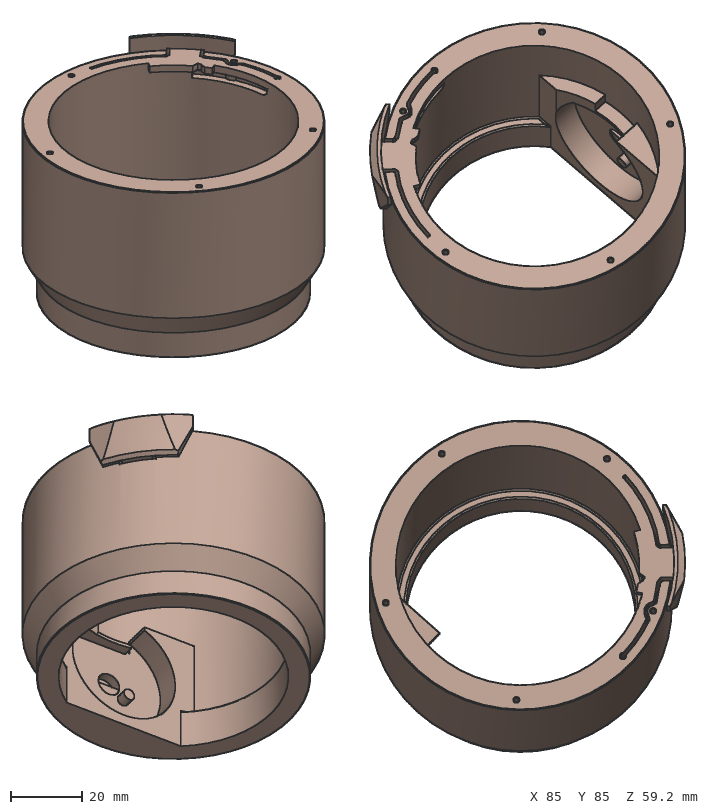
import cadquery as cq
import math

overlap = 0.85

outer_radius = 42.5
bore_radius = 70.3 / 2
skirt_radius = 77.0 / 2
skirt_height = 8.0
cone_top = 14.8
body_top = 54.9
rim_chamfer = 0.25

seat_radius = 32.3
seat_z = 12.2
seat_bevel_width = 0.6
seat_bevel_height = 0.25

block_face_x = 26.2
block_top = 37.15
well_radius = 31.1
well_end_y = -6.9
ledge_top = 33.1
ledge_thickness = 1.1
ledge_bottom = ledge_top - ledge_thickness
ledge_y_min = -5.35
ledge_y_max = 5.8
socket_radius = 17.1
socket_z = 20.4
socket_end_x = 34.0
pin_diameter = 3.5
pin_length = 3.4
pin_y = -4.6
pin_z = 15.3
recess_radius = 3.5
recess_z = 19.2
recess_step_z = 18.95
recess_lower_depth = 0.4
recess_upper_depth = 3.1

screw_count = 5
screw_first_angle = 41.0
screw_circle_radius = 39.5
screw_diameter = 1.4
screw_mouth_diameter = 1.8
screw_depth = 5.1

lever_angle = 135.0
lever_bottom = 44.9
slot_width = 0.9
slot_radius = 39.1
slot_depth = body_top - lever_bottom
slot_exit_radius = 43.2
slot_spot_diameter = 1.8
slot_spot_depth = 0.5
hole_slot_start = 90.0
hole_slot_end = 109.0
hole_slot_bends = [(-17.8, 35.0), (-22.6, 31.9), (-24.0, 31.8)]
hole_slot_exit = 127.5
detour_radius = 2.0
detour_start = -20.0
detour_end = -125.0
plain_slot_start = 175.0
plain_slot_square = 1.0
plain_slot_end = 148.0
plain_slot_bends = [(-30.6, 24.1), (-30.7, 25.0)]
plain_slot_exit = 140.4

lever_top = 59.2
lever_inner_radius = 43.1
lever_edge_radius = 44.2
lever_outer_radius = 46.2
lever_foot_radius = 45.05
lever_foot_bevel = 1.0
lever_facet_angle = 8.5
lever_tip_radius = 44.0
lever_bevel_top = 57.5
lever_bevel_bottom = 46.0
lever_half_width_top = 14.9
lever_half_width_bottom = 10.9
root_side_low = -5.3
root_side_high = 3.8

pad_radius = 33.3
pad_bottom = 52.9
pad_start_angle = 119.3
pad_end_angle = 150.0
pad_notch = [(-20.9, 25.5), (-21.2, 27.9), (-20.1, 28.2), (-19.5, 28.0), (-18.1, 27.9), (-17.85, 26.8)]

groove_radius = 37.6
groove_bottom = 50.1
groove_top = 52.6
groove_start_angle = 90.0
groove_end_angle = 130.0
groove_end_fillet = 2.0


def polar(radius, angle):
    """Point in the XY plane at a radius and an angle in degrees."""
    return (radius * math.cos(math.radians(angle)), radius * math.sin(math.radians(angle)))


def cylinder(radius, bottom, top):
    return cq.Workplane("XY").workplane(offset=bottom).circle(radius).extrude(top - bottom)


def box(x_range, y_range, z_range):
    size = [high - low for low, high in (x_range, y_range, z_range)]
    return cq.Workplane("XY").box(*size, centered=False).translate((x_range[0], y_range[0], z_range[0]))


def ring_sector(inner, outer, start, end, bottom, top):
    middle = (start + end) / 2
    return (
        cq.Workplane("XY")
        .workplane(offset=bottom)
        .moveTo(*polar(inner, start))
        .lineTo(*polar(outer, start))
        .threePointArc(polar(outer, middle), polar(outer, end))
        .lineTo(*polar(inner, end))
        .threePointArc(polar(inner, middle), polar(inner, start))
        .close()
        .extrude(top - bottom)
    )


def revolve(points):
    """Solid of revolution about Z from (radius, z) points."""
    return cq.Workplane("XZ").polyline(points).close().revolve(360, (0, 0, 0), (0, 1, 0))


def tube():
    return revolve([
        (seat_radius, 0),
        (skirt_radius - rim_chamfer, 0),
        (skirt_radius, rim_chamfer),
        (skirt_radius, skirt_height),
        (outer_radius, cone_top),
        (outer_radius, body_top - rim_chamfer),
        (outer_radius - rim_chamfer, body_top),
        (bore_radius, body_top),
        (bore_radius, seat_z + seat_bevel_height),
        (bore_radius - seat_bevel_width, seat_z),
        (seat_radius + seat_bevel_width, seat_z),
        (seat_radius, seat_z - seat_bevel_height),
    ])


def block():
    far = outer_radius
    side = box((block_face_x, far), (-far, far), (0, block_top))
    bevel = (
        cq.Workplane("XZ")
        .polyline([
            (block_face_x, seat_z),
            (block_face_x - seat_bevel_width, seat_z),
            (block_face_x, seat_z + seat_bevel_height),
        ])
        .close()
        .extrude(far, both=True)
    )
    bevel = bevel.cut(cylinder(seat_radius, 0, body_top))
    inside = cylinder(bore_radius, seat_z, body_top).union(cylinder(seat_radius + overlap, 0, seat_z))
    shape = side.union(bevel).intersect(inside)

    well_zone = box((0, far), (well_end_y, far), (socket_z, body_top))
    well = cylinder(well_radius, socket_z, body_top).intersect(well_zone)
    lowered = box((0, far), (well_end_y, ledge_y_max), (ledge_top, body_top))
    gap = box((0, socket_end_x), (well_end_y, ledge_y_min), (socket_z, body_top))
    return shape.cut(well).cut(lowered).cut(gap)


def socket():
    """Round recess into the block, stopping under the ledge."""
    far = outer_radius
    recess = (
        cq.Workplane("YZ")
        .workplane(offset=block_face_x - overlap)
        .center(0, socket_z)
        .circle(socket_radius)
        .extrude(socket_end_x - block_face_x + overlap)
    )
    roof = box((0, far), (ledge_y_min, far), (ledge_bottom, body_top)).cut(
        cylinder(well_radius, 0, body_top)
    )
    return recess.cut(roof)


def latch_recess():
    """Round recess in the socket's end wall, deeper above its level step."""
    mouth = (
        cq.Workplane("YZ")
        .workplane(offset=socket_end_x)
        .center(0, recess_z)
        .circle(recess_radius)
        .extrude(recess_upper_depth)
    )
    step = box(
        (socket_end_x + recess_lower_depth, outer_radius),
        (-recess_radius, recess_radius),
        (recess_z - recess_radius, recess_step_z),
    )
    return mouth.cut(step)


def pin():
    """Pin standing on the socket's end wall."""
    return (
        cq.Workplane("YZ")
        .workplane(offset=socket_end_x - pin_length)
        .center(pin_y, pin_z)
        .circle(pin_diameter / 2)
        .extrude(pin_length + overlap)
    )


def screw_holes():
    lead = (screw_mouth_diameter - screw_diameter) / 2
    pitch = 360 / screw_count
    points = [polar(screw_circle_radius, screw_first_angle + i * pitch) for i in range(screw_count)]
    profile = [
        (0, body_top - screw_depth),
        (screw_diameter / 2, body_top - screw_depth),
        (screw_diameter / 2, body_top - lead),
        (screw_mouth_diameter / 2, body_top),
        (0, body_top),
    ]
    hole = revolve(profile).val()
    return cq.Workplane("XY").pushPoints(points).eachpoint(lambda place: hole.moved(place), combine=True)


def slot_along(path):
    """Slot of constant width, open at the top of the rim, along a flat path."""
    wire = path.wire().val()
    outline = wire.offset2D(slot_width / 2)[0]
    return cq.Workplane(cq.Solid.extrudeLinear(outline, [], cq.Vector(0, 0, slot_depth)))


def floor_plane():
    return cq.Workplane("XY").workplane(offset=lever_bottom)


def hole_slot():
    """Slot that bends around one screw hole and leaves through the rim."""
    hole_x, hole_y = polar(screw_circle_radius, screw_first_angle + 360 / screw_count)
    middle = (hole_slot_start + hole_slot_end) / 2

    def around_hole(angle):
        dx, dy = polar(detour_radius, angle)
        return (hole_x + dx, hole_y + dy)

    path = (
        floor_plane()
        .moveTo(*polar(slot_radius, hole_slot_start))
        .threePointArc(polar(slot_radius, middle), polar(slot_radius, hole_slot_end))
        .lineTo(*around_hole(detour_start))
        .threePointArc(around_hole((detour_start + detour_end) / 2), around_hole(detour_end))
    )
    for bend in hole_slot_bends:
        path = path.lineTo(*bend)
    slot = slot_along(path.lineTo(*polar(slot_exit_radius, hole_slot_exit)))
    spot = (
        cq.Workplane("XY")
        .workplane(offset=body_top - slot_spot_depth)
        .moveTo(*polar(slot_radius, hole_slot_start))
        .circle(slot_spot_diameter / 2)
        .extrude(slot_spot_depth)
    )
    return slot.union(spot)


def plain_slot():
    """Slot on the other side of the lever root, with a square far end."""
    inner_end = plain_slot_start - plain_slot_square
    middle = (inner_end + plain_slot_end) / 2
    path = (
        floor_plane()
        .moveTo(*polar(slot_radius, inner_end))
        .threePointArc(polar(slot_radius, middle), polar(slot_radius, plain_slot_end))
    )
    for bend in plain_slot_bends:
        path = path.lineTo(*bend)
    slot = slot_along(path.lineTo(*polar(slot_exit_radius, plain_slot_exit)))
    square_end = ring_sector(
        slot_radius - slot_width / 2,
        slot_radius + slot_width / 2,
        inner_end,
        plain_slot_start,
        lever_bottom,
        body_top,
    )
    return slot.union(square_end)


def lever():
    """Built pointing along +X, then turned to its angle."""
    band = revolve([
        (lever_inner_radius, lever_bottom),
        (lever_foot_radius - lever_foot_bevel, lever_bottom),
        (lever_foot_radius, lever_bevel_bottom),
        (lever_outer_radius, lever_bevel_top),
        (lever_edge_radius, lever_top),
        (lever_inner_radius, lever_top),
    ])
    front = (
        cq.Workplane("YZ")
        .polyline([
            (-lever_half_width_bottom, lever_bottom),
            (lever_half_width_bottom, lever_bottom),
            (lever_half_width_top, body_top),
            (lever_half_width_top, lever_top),
            (-lever_half_width_top, lever_top),
            (-lever_half_width_top, body_top),
        ])
        .close()
        .extrude(lever_outer_radius)
    )
    root = box(
        (outer_radius - overlap, lever_edge_radius - overlap),
        (root_side_low, root_side_high),
        (lever_bottom, body_top),
    )
    shape = band.intersect(front)
    for side in (1, -1):
        corner_x, corner_y = polar(lever_outer_radius, side * lever_facet_angle)
        tip_y = side * lever_half_width_top
        tip_x = math.sqrt(lever_tip_radius**2 - tip_y**2)
        facet = (
            cq.Workplane("XY")
            .workplane(offset=lever_bottom)
            .polyline([
                (2 * corner_x - tip_x, 2 * corner_y - tip_y),
                (2 * tip_x - corner_x, 2 * tip_y - corner_y),
                (2 * corner_x - tip_x, 2 * tip_y - corner_y),
            ])
            .close()
            .extrude(lever_top - lever_bottom)
        )
        shape = shape.cut(facet)
    return shape.union(root).rotate((0, 0, 0), (0, 0, 1), lever_angle)


def pad():
    shape = ring_sector(
        pad_radius, bore_radius + overlap, pad_start_angle, pad_end_angle, pad_bottom, body_top
    )
    notch = (
        cq.Workplane("XY")
        .workplane(offset=pad_bottom)
        .polyline(pad_notch)
        .close()
        .extrude(body_top - pad_bottom)
    )
    return shape.cut(notch)


def groove():
    """Groove in the bore wall, its floor curving up at the open end."""
    shape = ring_sector(
        bore_radius - overlap,
        groove_radius,
        groove_start_angle,
        groove_end_angle,
        groove_bottom,
        groove_top,
    )
    return shape.faces("<Z").edges(">X").fillet(groove_end_fillet)



result = (
    tube()
    .union(block())
    .cut(socket())
    .cut(latch_recess())
    .union(pin())
    .cut(groove())
    .union(pad())
    .union(lever())
    .cut(hole_slot())
    .cut(plain_slot())
    .cut(screw_holes())
)